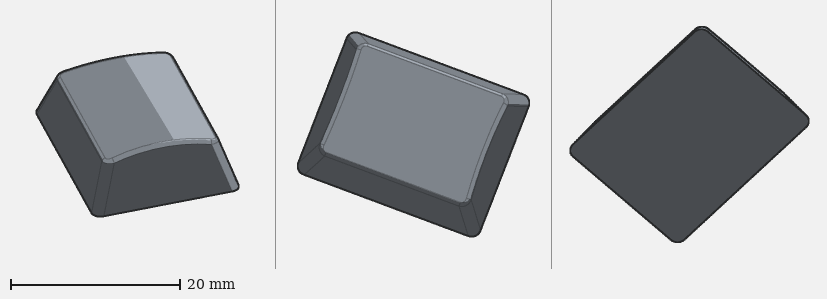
import cadquery as cq

base_length = 23.06
base_width = 18.3
height = 7.2

wall_draft_angle = 18.0
corner_radius = 1.2
top_edge_radius = 0.6

crown_radius = 25.0


def tapered_block():
    """Rectangular block whose four walls lean inward, with rounded corners."""
    block = cq.Workplane("XY").rect(base_length, base_width).extrude(height, taper=wall_draft_angle)
    wall_corners = block.edges("not(#Z or |X or |Y)")
    return wall_corners.fillet(corner_radius)


def crown_cylinder():
    """Solid cylinder whose upper surface is the crowned top face."""
    return (
        cq.Workplane("YZ")
        .center(0, height - crown_radius)
        .circle(crown_radius)
        .extrude(base_length / 2, both=True)
    )


def round_top_edge(body):
    """Round the rim where the crowned top meets the walls."""
    return body.faces(">Z").edges().fillet(top_edge_radius)


crowned_block = tapered_block().intersect(crown_cylinder())
result = round_top_edge(crowned_block)